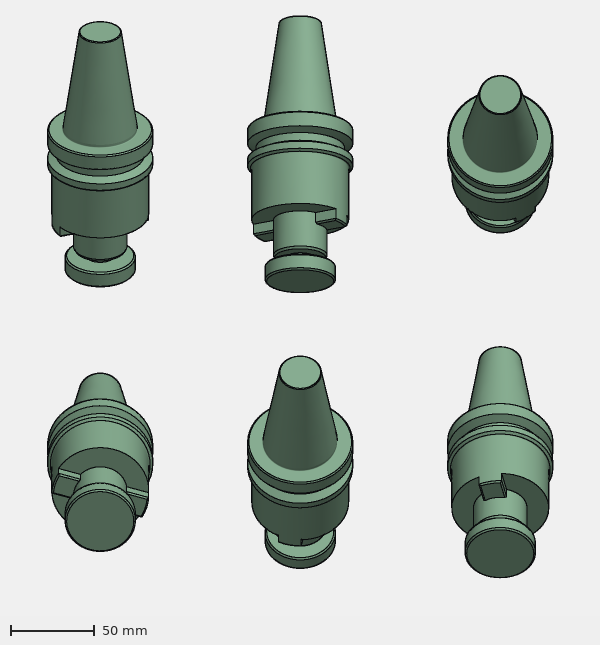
import cadquery as cq

total_height = 164.4

head_radius = 42.1 / 2
head_height = 10.2
head_chamfer = 1.0

screw_radius = 16.8 / 2

spigot_radius = 32.0 / 2
spigot_bottom = 15.1
spigot_chamfer_height = 1.5
spigot_chamfer_width = 0.8

body_radius = 58.0 / 2
body_bottom = 39.0

key_width = 14.0
key_height = 7.0
key_chamfer = 1.0

flange_radius = 63.0 / 2
flange_bottom = 71.8
flange_top = 97.0
flange_bottom_chamfer_height = 1.3
flange_bottom_chamfer_width = 1.6
flange_top_chamfer = 0.8
root_fillet = 0.5

groove_radius = 26.5
groove_center = 82.5
groove_floor_width = 5.0
groove_mouth_width = 9.9

taper_length = 65.5
taper_large_radius = 22.2
taper_ratio = 7 / 24
taper_tip_chamfer = 0.5

taper_base = total_height - taper_length
taper_slope = taper_ratio / 2
taper_tip_radius = taper_large_radius - taper_slope * taper_length
taper_chamfer_start = total_height - taper_tip_chamfer
taper_chamfer_radius = taper_tip_radius + taper_slope * taper_tip_chamfer


def ring_edge(solid, radius, height):
    """Return the circular edge of the given radius and height about the Z axis."""
    tolerance = 0.002

    def matches(edge):
        box = edge.BoundingBox()
        flat = abs(box.zmin - height) < tolerance and abs(box.zmax - height) < tolerance
        return flat and abs(edge.radius() - radius) < tolerance

    return next(edge for edge in solid.edges("%CIRCLE").vals() if matches(edge))


def make_turned_body():
    """Revolve the half profile, listed as (radius, height) from the bottom up."""
    profile = [
        (0, 0),
        (head_radius - head_chamfer, 0),
        (head_radius, head_chamfer),
        (head_radius, head_height - head_chamfer),
        (head_radius - head_chamfer, head_height),
        (screw_radius, head_height),
        (screw_radius, spigot_bottom),
        (spigot_radius - spigot_chamfer_width, spigot_bottom),
        (spigot_radius, spigot_bottom + spigot_chamfer_height),
        (spigot_radius, body_bottom),
        (body_radius, body_bottom),
        (body_radius, flange_bottom),
        (flange_radius - flange_bottom_chamfer_width, flange_bottom),
        (flange_radius, flange_bottom + flange_bottom_chamfer_height),
        (flange_radius, groove_center - groove_mouth_width / 2),
        (groove_radius, groove_center - groove_floor_width / 2),
        (groove_radius, groove_center + groove_floor_width / 2),
        (flange_radius, groove_center + groove_mouth_width / 2),
        (flange_radius, flange_top - flange_top_chamfer),
        (flange_radius - flange_top_chamfer, flange_top),
        (taper_large_radius, flange_top),
        (taper_large_radius, taper_base),
        (taper_chamfer_radius, taper_chamfer_start),
        (taper_tip_radius - taper_tip_chamfer, total_height),
        (0, total_height),
    ]
    return cq.Workplane("XZ").polyline(profile).close().revolve(360, (0, 0), (0, 1))


def make_drive_keys():
    """Two opposed keys along Y, cut from one bar trimmed to the body diameter."""
    key_bottom = body_bottom - key_height
    disc = cq.Workplane("XY").workplane(offset=key_bottom).circle(body_radius).extrude(key_height)
    bar = (
        cq.Workplane("XY")
        .workplane(offset=key_bottom)
        .rect(key_width, 2 * body_radius)
        .extrude(key_height)
    )
    return disc.intersect(bar).faces("<Z").chamfer(key_chamfer)


def fillet_flange_roots(solid):
    """Round the inner corners where the flange meets the body and the collar."""
    body_root = ring_edge(solid, body_radius, flange_bottom)
    collar_root = ring_edge(solid, taper_large_radius, flange_top)
    return solid.newObject([body_root, collar_root]).fillet(root_fillet)


arbor = make_turned_body().union(make_drive_keys())
result = fillet_flange_roots(arbor)